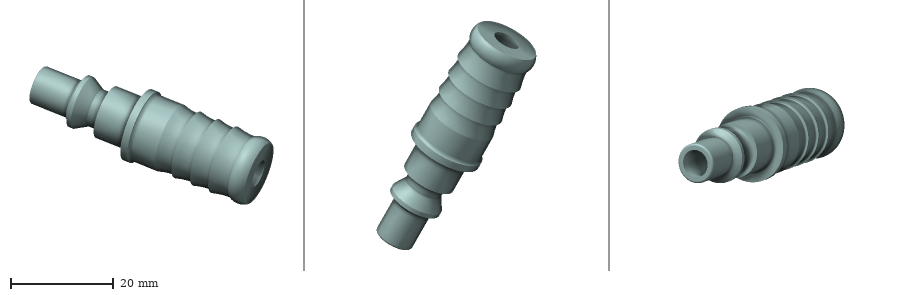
import cadquery as cq
import math

length = 48.5
bore_radius = 5.5 / 2

nose_radius = 7.9 / 2
nose_rounding = 0.45
ridge_start = 8.15
ridge_crest_start = 9.05
ridge_crest_end = 10.0
collar_radius = 10.9 / 2
neck_start = 12.7
neck_radius = 7.8 / 2
shoulder = 15.05
neck_fillet = 0.95

flange_start = 21.9
flange_end = 23.43
flange_radius = 15.0 / 2
flange_front_fillet = 0.4
flange_back_fillet = 0.95

tail_radius = 14.0 / 2
barb_starts = [29.25, 32.95, 37.0, 41.0]
barb_valley_radius = 6.45
barb_fillet = 0.3
bead_start = 45.0


def concave_corner(profile, x, radius, fillet):
    """Curve outward from a cylinder, one fillet short of x, into a face at x."""
    bend = fillet * math.sqrt(0.5)
    return profile.threePointArc(
        (x - fillet + bend, radius + fillet - bend), (x, radius + fillet)
    )


def add_barb(profile, start, end):
    """Sweep inward from the tail radius, levelling out at the valley."""
    middle = (start + end) / 2
    depth = tail_radius - barb_valley_radius
    sweep_radius = ((end - start) ** 2 + depth**2) / (2 * depth)
    middle_radius = barb_valley_radius + sweep_radius - math.sqrt(sweep_radius**2 - (end - middle) ** 2)
    return profile.threePointArc((middle, middle_radius), (end, barb_valley_radius))


def add_plug(profile):
    """Rounded nose, locking ridge, neck and collar."""
    bend = nose_rounding * (1 - math.sqrt(0.5))
    profile = (
        profile.lineTo(0, nose_radius - nose_rounding)
        .threePointArc((bend, nose_radius - bend), (nose_rounding, nose_radius))
        .lineTo(ridge_start, nose_radius)
        .lineTo(ridge_crest_start, collar_radius)
        .lineTo(ridge_crest_end, collar_radius)
        .lineTo(neck_start, neck_radius)
        .lineTo(shoulder - neck_fillet, neck_radius)
    )
    profile = concave_corner(profile, shoulder, neck_radius, neck_fillet)
    return profile.lineTo(shoulder, collar_radius)


def add_flange(profile):
    """Thin flange whose back fillet is cut off by the flange rim."""
    step = flange_radius - tail_radius
    fillet_run = math.sqrt(flange_back_fillet**2 - (flange_back_fillet - step) ** 2)
    fillet_end = flange_end + fillet_run
    middle_run = fillet_run / 2
    middle_radius = tail_radius + flange_back_fillet - math.sqrt(flange_back_fillet**2 - middle_run**2)
    profile = profile.lineTo(flange_start - flange_front_fillet, collar_radius)
    profile = concave_corner(profile, flange_start, collar_radius, flange_front_fillet)
    return (
        profile.lineTo(flange_start, flange_radius)
        .lineTo(flange_end, flange_radius)
        .threePointArc((flange_end + middle_run, middle_radius), (fillet_end, tail_radius))
    )


def add_tail(profile):
    """Plain cylinder, curved hose barbs and a rounded end bead."""
    profile = profile.lineTo(barb_starts[0], tail_radius)
    for start, next_start in zip(barb_starts, barb_starts[1:]):
        profile = add_barb(profile, start, next_start - barb_fillet)
        profile = concave_corner(profile, next_start, barb_valley_radius, barb_fillet)
        profile = profile.lineTo(next_start, tail_radius)
    profile = add_barb(profile, barb_starts[-1], bead_start)
    return profile.threePointArc(
        ((bead_start + length) / 2, tail_radius), (length, barb_valley_radius)
    )


profile = cq.Workplane("XY").moveTo(0, bore_radius)
profile = add_plug(profile)
profile = add_flange(profile)
profile = add_tail(profile)
profile = profile.lineTo(length, bore_radius).close()

result = profile.revolve(360, (0, 0, 0), (1, 0, 0))